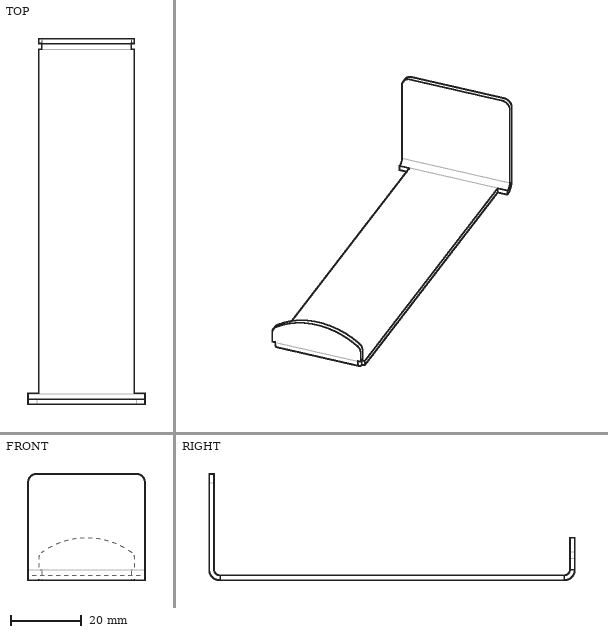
import cadquery as cq
import math

length = 103.2
thickness = 1.4
bend_radius = 3.0
strip_width = 27.0

front_width = 33.0
front_height = 30.0
front_ledge = 0.2
front_corner_radius = 2.5

rear_height = 12.1
rear_bend_width = 25.3
crown_radius = 21.5
rear_corner_radius = 2.3

front_y = -length / 2
rear_y = length / 2
front_bend_end = front_y + bend_radius
rear_bend_start = rear_y - bend_radius


def make_strip():
    strip_length = rear_bend_start - front_bend_end
    return (
        cq.Workplane("XY")
        .box(strip_width, strip_length, thickness, centered=(True, False, False))
        .translate((0, front_bend_end, 0))
    )


def make_bend(width, outer_y, inward):
    """Quarter-round bend; inward is the Y direction towards the strip."""
    inner_radius = bend_radius - thickness
    center_y = outer_y + inward * bend_radius
    outer_mid = bend_radius * math.sqrt(0.5)
    inner_mid = inner_radius * math.sqrt(0.5)
    return (
        cq.Workplane("YZ")
        .moveTo(center_y, 0)
        .threePointArc((center_y - inward * outer_mid, bend_radius - outer_mid), (outer_y, bend_radius))
        .lineTo(outer_y + inward * thickness, bend_radius)
        .threePointArc((center_y - inward * inner_mid, bend_radius - inner_mid), (center_y, thickness))
        .close()
        .extrude(width / 2, both=True)
    )


def make_front_plate():
    plate_height = front_height - bend_radius
    return (
        cq.Workplane("XY")
        .box(front_width, thickness, plate_height, centered=(True, False, False))
        .translate((0, front_y, bend_radius))
        .edges("|Y and >Z")
        .fillet(front_corner_radius)
    )


def make_front_ledge():
    return (
        cq.Workplane("XY")
        .box(front_width, front_ledge, thickness, centered=(True, False, False))
        .translate((0, front_bend_end, 0))
    )


def make_rear_plate():
    half_width = strip_width / 2
    crown_center_z = rear_height - crown_radius

    corner_x = half_width - rear_corner_radius
    center_distance = crown_radius - rear_corner_radius
    corner_z = crown_center_z + math.sqrt(center_distance**2 - corner_x**2)
    tangent_angle = math.acos(corner_x / center_distance)
    tangent_x = crown_radius * math.cos(tangent_angle)
    tangent_z = crown_center_z + crown_radius * math.sin(tangent_angle)
    corner_mid_x = corner_x + rear_corner_radius * math.cos(tangent_angle / 2)
    corner_mid_z = corner_z + rear_corner_radius * math.sin(tangent_angle / 2)

    return (
        cq.Workplane("XZ", origin=(0, rear_y, 0))
        .moveTo(-half_width, bend_radius)
        .lineTo(half_width, bend_radius)
        .lineTo(half_width, corner_z)
        .threePointArc((corner_mid_x, corner_mid_z), (tangent_x, tangent_z))
        .threePointArc((0, rear_height), (-tangent_x, tangent_z))
        .threePointArc((-corner_mid_x, corner_mid_z), (-half_width, corner_z))
        .close()
        .extrude(thickness)
    )


result = (
    make_strip()
    .union(make_bend(front_width, front_y, 1))
    .union(make_bend(rear_bend_width, rear_y, -1))
    .union(make_front_plate())
    .union(make_front_ledge())
    .union(make_rear_plate())
)